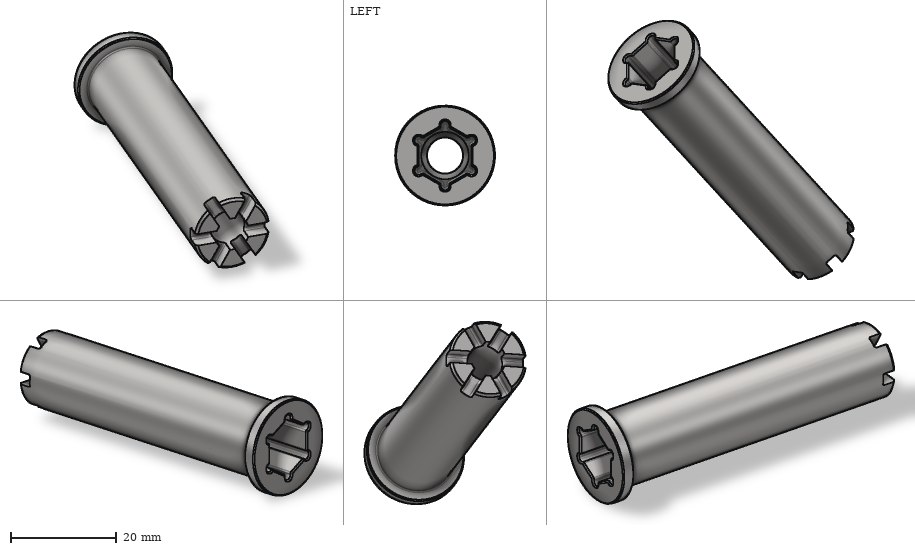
import cadquery as cq
import math

total_length = 64.0
flange_diameter = 19.0
flange_thickness = 2.5
flange_edge_chamfer = 0.25
barrel_diameter = 15.0
barrel_end_chamfer = 0.5
neck_fillet = 0.3
bore_diameter = 6.8

hex_sides = 6
hex_across_flats = 10.0
socket_depth = 12.0
corner_relief_diameter = 1.6
socket_edge_chamfer = 0.3
relief_blend_radius = 0.4
socket_floor_fillet = 0.5
socket_cone_diameter = 9.0
socket_cone_angle = 90.0

slot_count = 6
slot_width = 2.5
slot_depth = 3.0
slot_corner_radius = 0.5

x_start = -total_length / 2
x_end = total_length / 2
flange_radius = flange_diameter / 2
barrel_radius = barrel_diameter / 2
flange_back = x_start + flange_thickness


def make_body():
    """Revolve the flanged sleeve, without its inner features."""
    c = flange_edge_chamfer
    profile = (
        cq.Workplane("XY")
        .moveTo(x_start, 0)
        .lineTo(x_start, flange_radius - c)
        .lineTo(x_start + c, flange_radius)
        .lineTo(flange_back - c, flange_radius)
        .lineTo(flange_back, flange_radius - c)
        .lineTo(flange_back, barrel_radius + neck_fillet)
        .radiusArc((flange_back + neck_fillet, barrel_radius), -neck_fillet)
        .lineTo(x_end - barrel_end_chamfer, barrel_radius)
        .lineTo(x_end, barrel_radius - barrel_end_chamfer)
        .lineTo(x_end, 0)
        .close()
    )
    return profile.revolve(360, (0, 0, 0), (1, 0, 0))


def make_bore():
    """Revolve the through bore and the cone that leads into it from the socket floor."""
    floor = x_start + socket_depth
    bore_radius = bore_diameter / 2
    cone_radius = socket_cone_diameter / 2
    cone_length = (cone_radius - bore_radius) / math.tan(math.radians(socket_cone_angle / 2))
    profile = (
        cq.Workplane("XY")
        .moveTo(x_start, 0)
        .lineTo(x_start, cone_radius)
        .lineTo(floor, cone_radius)
        .lineTo(floor + cone_length, bore_radius)
        .lineTo(x_end, bore_radius)
        .lineTo(x_end, 0)
        .close()
    )
    return profile.revolve(360, (0, 0, 0), (1, 0, 0))


def make_socket():
    """Hexagonal socket with a round relief at each corner and a rounded floor."""
    corner_radius = hex_across_flats / math.sqrt(3)
    mouth = cq.Workplane("YZ", origin=(x_start, 0, 0))
    corners = []
    for i in range(hex_sides):
        angle = math.radians(90 + i * 360 / hex_sides)
        corners.append((corner_radius * math.cos(angle), corner_radius * math.sin(angle)))
    prism = mouth.polyline(corners).close().extrude(socket_depth)
    reliefs = mouth.pushPoints(corners).circle(corner_relief_diameter / 2).extrude(socket_depth)
    socket = prism.union(reliefs).edges("|X").fillet(relief_blend_radius)
    return socket.faces(">X").edges().fillet(socket_floor_fillet)


def make_slots():
    """Radial slots with rounded floor corners, cut across the plain end."""
    slot = (
        cq.Workplane("XY")
        .box(2 * slot_depth, barrel_diameter, slot_width, centered=(True, False, True))
        .edges("<X and |Y")
        .fillet(slot_corner_radius)
        .translate((x_end, 0, 0))
    )
    slots = slot
    for i in range(1, slot_count):
        slots = slots.union(slot.rotate((0, 0, 0), (1, 0, 0), i * 360 / slot_count))
    return slots


def flare_mouth(sleeve):
    """Chamfer the edges where the socket opens on the flange face."""
    shortest = cq.selectors.LengthNthSelector(0)
    return sleeve.faces("<X").wires(shortest).edges().chamfer(socket_edge_chamfer)


sleeve = make_body().cut(make_bore()).cut(make_socket())
sleeve = flare_mouth(sleeve)
result = sleeve.cut(make_slots())